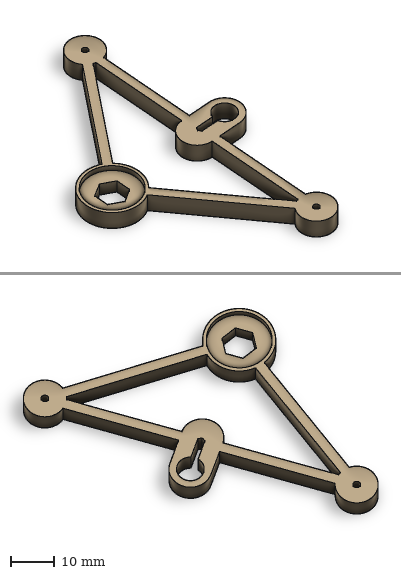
import cadquery as cq
import math

thickness = 5.0

disc_diameter = 10.0
disc_offset = 38.0
pin_hole_diameter = 1.75

bar_width = 2.5

holder_diameter = 17.0
holder_y = -29.0
recess_diameter = 15.3
recess_depth = 1.5
hex_corner_diameter = 8.4

tab_width = 10.0
tab_top_center_y = 7.81
tab_bottom_center_y = -1.19
keyhole_head_diameter = 6.4
slot_corner_radius = 1.0

disc_centers = [(-disc_offset, 0), (disc_offset, 0)]
holder_center = (0, holder_y)


def cylinder(center, diameter):
    return cq.Workplane("XY").center(*center).circle(diameter / 2).extrude(thickness)


def bar(start, end):
    """Straight bar of the common width between two centre points."""
    dx = end[0] - start[0]
    dy = end[1] - start[1]
    middle = ((start[0] + end[0]) / 2, (start[1] + end[1]) / 2)
    return (
        cq.Workplane("XY")
        .rect(math.hypot(dx, dy), bar_width)
        .extrude(thickness)
        .rotate((0, 0, 0), (0, 0, 1), math.degrees(math.atan2(dy, dx)))
        .translate((*middle, 0))
    )


def hanging_tab():
    """Upright rounded tab, full thickness."""
    center_distance = tab_top_center_y - tab_bottom_center_y
    return (
        cq.Workplane("XY")
        .center(0, (tab_top_center_y + tab_bottom_center_y) / 2)
        .slot2D(center_distance + tab_width, tab_width, 90)
        .extrude(thickness)
    )


def keyhole():
    """Round head with a narrow slot running down to a pointed end."""
    slot_half_width = slot_corner_radius * math.cos(math.radians(30))
    shoulder_y = -slot_corner_radius / 2
    slot = (
        cq.Workplane("XY")
        .polyline([
            (-slot_half_width, tab_top_center_y),
            (-slot_half_width, shoulder_y),
            (0, -slot_corner_radius),
            (slot_half_width, shoulder_y),
            (slot_half_width, tab_top_center_y),
        ])
        .close()
        .extrude(thickness)
    )
    return cylinder((0, tab_top_center_y), keyhole_head_diameter).union(slot)


def holder_opening():
    """Circular recess in the top face and the hexagonal hole through its floor."""
    recess = cylinder(holder_center, recess_diameter).translate((0, 0, thickness - recess_depth))
    hexagon = (
        cq.Workplane("XY")
        .center(*holder_center)
        .polygon(6, hex_corner_diameter)
        .extrude(thickness)
    )
    return recess.union(hexagon)


body = bar(*disc_centers).union(hanging_tab()).union(cylinder(holder_center, holder_diameter))
for disc_center in disc_centers:
    body = body.union(bar(disc_center, holder_center))
    body = body.union(cylinder(disc_center, disc_diameter))

body = body.cut(keyhole()).cut(holder_opening())
for disc_center in disc_centers:
    body = body.cut(cylinder(disc_center, pin_hole_diameter))

result = body